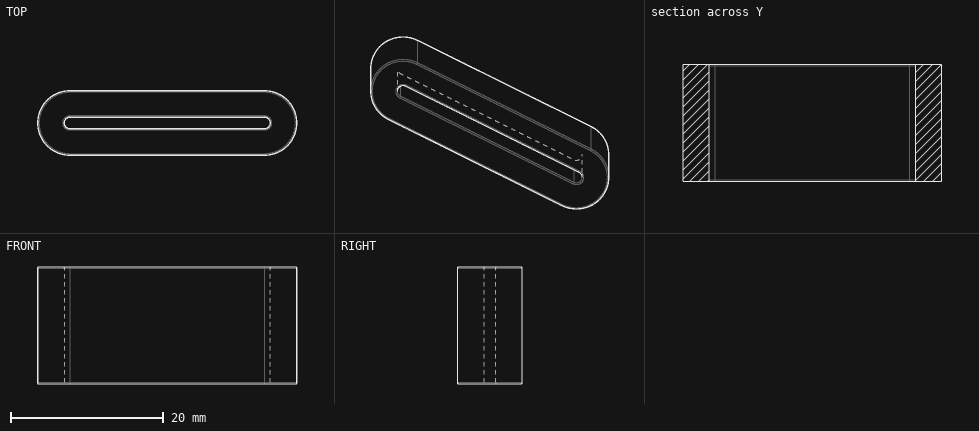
import cadquery as cq

length = 34.0
width = 8.5
height = 15.4
slot_width = 1.5
edge_break = 0.2

centre_distance = length - width
slot_length = centre_distance + slot_width


def make_sleeve():
    """Upright block with full-round ends and a through slot, all rims rounded."""
    block = cq.Workplane("XY").slot2D(length, width).extrude(height)
    slot = cq.Workplane("XY").slot2D(slot_length, slot_width).extrude(height)
    return block.cut(slot).faces("|Z").edges().fillet(edge_break)


sleeve = make_sleeve()

result = cq.Compound.makeCompound([sleeve.val()])